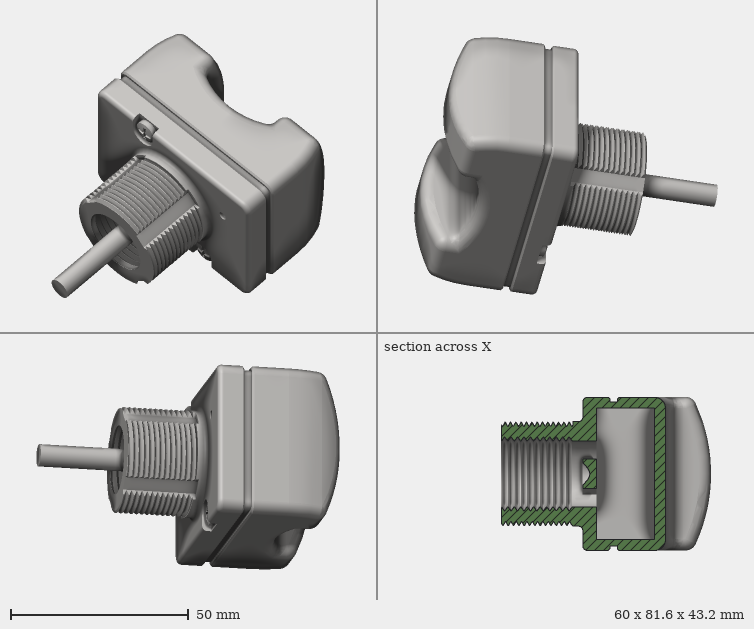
import cadquery as cq
import math

CAP_WIDTH = 59.99
OVERALL_LENGTH = 81.56
BODY_HEIGHT = 43.18
BASE_WIDTH = 59.74
EDGE_RADIUS = 3.2
WALL = 3.2

BASE_BACK = 7.7
CAP_FRONT = 9.77
SIDE_ARC_START = 20.2
CAP_BACK = 36.18
STEM_END = -22.83
CABLE_END = CAP_BACK - OVERALL_LENGTH
PLATE_THICKNESS = 4.0

SIDE_ARC_RADIUS = 27.5
DOME_RADIUS = 47.2

NOTCH_HALF_WIDTH = 12.86
NOTCH_FLOOR = 23.17
NOTCH_RADIUS = 25.4
NOTCH_CORNER_RADIUS = 2.8

SEAM_INSET = 1.27
SEAM_CHAMFER = 0.5
BASE_EDGE_RADIUS = 1.45

COLLAR_RADIUS = 15.12
COLLAR_LENGTH = 2.75
COLLAR_FILLET = 1.16
THREAD_RADIUS = 14.97
THREAD_ROOT_RADIUS = 13.85
THREAD_PITCH = 1.5
CREST_WIDTH = 0.15
BORE_RADIUS = 9.74
BORE_THREAD_RADIUS = 10.85
BORE_PITCH = 25.4 / 14
BORE_TURNS = 11
BORE_LAND = 0.15
THREAD_GAP = 0.04
JOIN_OVERLAP = 0.05

FLAT_DISTANCE = 13.6
FLAT_SIDE = 8.2
FLAT_START = -2.0
FLAT_COUNT = 4

CABLE_RADIUS = 3.14
HUB_RADIUS = 5.3
HUB_MOUTH_RADIUS = 4.46
HUB_MOUTH_DEPTH = 2.0
SPOKE_WIDTH = 2.25
SPOKE_COUNT = 3

SCREW_X = -11.54
SCREW_Z = 17.5
SCREW_POCKET_RADIUS = 3.85
SCREW_POCKET_DEPTH = 2.7
SCREW_HEAD_RADIUS = 3.4
SCREW_HEAD_HEIGHT = 2.3
SCREW_RIM_HEIGHT = 1.6
CROSS_LENGTH = 4.8
CROSS_WIDTH = 1.0
CROSS_DEPTH = 1.0
VENT_RADIUS = 1.3
VENT_X = 19.75
VENT_Z = 8.95


def facing_back(y):
    """Workplane at depth y whose extrusions run toward +Y; local (x, y) is (X, -Z)."""
    return cq.Workplane(cq.Plane(origin=(0, y, 0), xDir=(1, 0, 0), normal=(0, 1, 0)))


def rod(radius, y_start, y_end):
    """Cylinder on the stem axis."""
    return facing_back(y_start).circle(radius).extrude(y_end - y_start)


def slab(width, height, y_start, y_end):
    """Rectangular block centred on the stem axis."""
    return facing_back(y_start).rect(width, height).extrude(y_end - y_start)


def half_turn_pair(shape):
    """The shape together with its copy half a turn about the stem axis."""
    return shape.union(shape.rotate((0, 0, 0), (0, 1, 0), 180))


def cap_block(inset, front):
    """Cap with sharp edges, every curved or outer wall moved inward by inset."""
    half_width = CAP_WIDTH / 2 - inset
    back = CAP_BACK - inset
    side_radius = SIDE_ARC_RADIUS - inset
    arc_center_x = half_width - side_radius
    end_angle = math.asin((back - SIDE_ARC_START) / side_radius)

    def on_side_arc(angle):
        x = arc_center_x + side_radius * math.cos(angle)
        y = SIDE_ARC_START + side_radius * math.sin(angle)
        return x, y

    mid_x, mid_y = on_side_arc(end_angle / 2)
    end_x, end_y = on_side_arc(end_angle)
    plan = (
        cq.Workplane("XY", origin=(0, 0, -BODY_HEIGHT / 2 + inset))
        .moveTo(-half_width, front)
        .lineTo(half_width, front)
        .lineTo(half_width, SIDE_ARC_START)
        .threePointArc((mid_x, mid_y), (end_x, end_y))
        .lineTo(-end_x, end_y)
        .threePointArc((-mid_x, mid_y), (-half_width, SIDE_ARC_START))
        .close()
        .extrude(BODY_HEIGHT - 2 * inset)
    )
    dome = (
        cq.Workplane("YZ", origin=(-CAP_WIDTH, CAP_BACK - DOME_RADIUS, 0))
        .circle(DOME_RADIUS - inset)
        .extrude(2 * CAP_WIDTH)
    )
    return plan.intersect(dome)


def notch(grow):
    """Cutter for the cradle notch, its walls moved outward by grow."""
    floor_disc = (
        cq.Workplane("XY", origin=(0, NOTCH_FLOOR + NOTCH_RADIUS, -BODY_HEIGHT))
        .circle(NOTCH_RADIUS + grow)
        .extrude(2 * BODY_HEIGHT)
    )
    channel = (
        cq.Workplane("XY", origin=(0, NOTCH_FLOOR + NOTCH_RADIUS, 0))
        .box(2 * (NOTCH_HALF_WIDTH + grow), 4 * NOTCH_RADIUS, 2 * BODY_HEIGHT)
    )
    return floor_disc.intersect(channel)


def make_cap():
    """Solid cap with the notch cut and every back edge rounded."""
    cap = cap_block(0, CAP_FRONT).cut(notch(0))
    cap = cap.edges("not(|Z or <Y)").fillet(EDGE_RADIUS)
    corner_y = NOTCH_FLOOR + NOTCH_RADIUS - math.sqrt(NOTCH_RADIUS**2 - NOTCH_HALF_WIDTH**2)
    for side in (-1, 1):
        corner = cq.selectors.NearestToPointSelector((side * NOTCH_HALF_WIDTH, corner_y, 0))
        cap = cap.edges(corner).fillet(NOTCH_CORNER_RADIUS)
    return cap.faces("<Y").edges().chamfer(SEAM_CHAMFER)


def make_base():
    """Base plate and the narrower seam that joins it to the cap."""
    base = slab(BASE_WIDTH, BODY_HEIGHT, 0, BASE_BACK).edges("|Y").fillet(EDGE_RADIUS)
    base = base.faces("<Y").edges().fillet(BASE_EDGE_RADIUS)
    base = base.faces(">Y").edges().chamfer(SEAM_CHAMFER)
    seam = slab(CAP_WIDTH - 2 * SEAM_INSET, BODY_HEIGHT - 2 * SEAM_INSET, BASE_BACK, CAP_FRONT)
    seam = seam.edges("|Y").fillet(EDGE_RADIUS - SEAM_INSET)
    return base.union(seam)


def make_cavity():
    """Hollow interior: the outer shape moved inward by one wall."""
    return cap_block(WALL, PLATE_THICKNESS).cut(notch(WALL))


def helical_ridge(profile, pitch, y_start, y_end):
    """Right-handed sweep of a (radius, axial) profile, from +X at y_start on toward +Y."""
    path = cq.Wire.makeHelix(pitch, y_end - y_start, profile[0][0])
    ridge = cq.Workplane("XZ").polyline(profile).close().sweep(cq.Workplane(path), isFrenet=True)
    return ridge.rotate((0, 0, 0), (1, 0, 0), -90).translate((0, y_start, 0))


def make_stem():
    """Collar and externally threaded stem, solid, with the diagonal flats cut."""
    crest = CREST_WIDTH / 2
    foot = (THREAD_PITCH - THREAD_GAP) / 2
    tooth = [
        (THREAD_ROOT_RADIUS - JOIN_OVERLAP, -foot),
        (THREAD_RADIUS, -crest),
        (THREAD_RADIUS, crest),
        (THREAD_ROOT_RADIUS - JOIN_OVERLAP, foot),
    ]
    thread = helical_ridge(tooth, THREAD_PITCH, STEM_END - THREAD_PITCH, FLAT_START)
    core = rod(THREAD_ROOT_RADIUS, STEM_END - 2 * THREAD_PITCH, 0)
    stem = thread.union(core, clean=False)
    stem = stem.intersect(rod(COLLAR_RADIUS, STEM_END, 0), clean=False)
    stem = stem.union(rod(COLLAR_RADIUS, -COLLAR_LENGTH, 0), clean=False)
    for cutter in make_flat_cutters():
        stem = stem.cut(cutter, clean=False)
    return stem


def make_collar_fillet():
    """Concave ring that blends the collar into the base plate."""
    ring = (
        cq.Workplane("XY")
        .moveTo(COLLAR_RADIUS, 0)
        .lineTo(COLLAR_RADIUS + COLLAR_FILLET, 0)
        .radiusArc((COLLAR_RADIUS, -COLLAR_FILLET), -COLLAR_FILLET)
        .close()
    )
    return ring.revolve(360, (0, 0, 0), (0, 1, 0))


def make_flat_cutters():
    """One cutter per diagonal: a flat floor between two axis-parallel side walls."""
    reach = 2 * THREAD_RADIUS
    far_side = math.sqrt(2) * FLAT_DISTANCE - FLAT_SIDE
    outline = [
        (FLAT_SIDE, far_side),
        (far_side, FLAT_SIDE),
        (reach, FLAT_SIDE),
        (reach, reach),
        (FLAT_SIDE, reach),
    ]
    cutter = facing_back(STEM_END).polyline(outline).close().extrude(FLAT_START - STEM_END)
    step = 360 / FLAT_COUNT
    return [cutter.rotate((0, 0, 0), (0, 1, 0), step * index) for index in range(FLAT_COUNT)]


def make_bore():
    """Cutter for the bore through stem and plate, with thread grooves along the stem."""
    half_land = BORE_LAND / 2
    profile = cq.Workplane("XY").moveTo(0, STEM_END).lineTo(BORE_RADIUS, STEM_END)
    for turn in range(BORE_TURNS):
        start = STEM_END + BORE_PITCH * turn
        profile = (
            profile.lineTo(BORE_RADIUS, start + half_land)
            .lineTo(BORE_THREAD_RADIUS, start + BORE_PITCH / 2)
            .lineTo(BORE_RADIUS, start + BORE_PITCH - half_land)
        )
    profile = profile.lineTo(BORE_RADIUS, PLATE_THICKNESS).lineTo(0, PLATE_THICKNESS).close()
    return profile.revolve(360, (0, 0, 0), (0, 1, 0))


def make_hub():
    """Spoked hub across the bore, with the cable running out through it."""
    hub = rod(HUB_RADIUS, 0, PLATE_THICKNESS)
    spoke_length = BORE_RADIUS + JOIN_OVERLAP
    spoke = slab(SPOKE_WIDTH, spoke_length, 0, PLATE_THICKNESS).translate((0, 0, spoke_length / 2))
    for index in range(SPOKE_COUNT):
        hub = hub.union(spoke.rotate((0, 0, 0), (0, 1, 0), 360 / SPOKE_COUNT * index))
    mouth = (
        facing_back(0)
        .circle(HUB_MOUTH_RADIUS)
        .workplane(offset=HUB_MOUTH_DEPTH)
        .circle(CABLE_RADIUS)
        .loft()
    )
    return hub.cut(mouth).union(rod(CABLE_RADIUS, CABLE_END, PLATE_THICKNESS))


def make_screw_pockets():
    """Round-bottomed pockets that open through the upper and lower edges of the base."""
    mouth_length = 2 * SCREW_POCKET_RADIUS
    pocket = rod(SCREW_POCKET_RADIUS, 0, SCREW_POCKET_DEPTH)
    mouth = slab(2 * SCREW_POCKET_RADIUS, mouth_length, 0, SCREW_POCKET_DEPTH)
    pocket = pocket.union(mouth.translate((0, 0, mouth_length / 2)))
    return half_turn_pair(pocket.translate((SCREW_X, 0, SCREW_Z)))


def make_screws():
    """Low-domed screw heads with a cross recess, standing on the pocket floors."""
    dome_height = SCREW_HEAD_HEIGHT - SCREW_RIM_HEIGHT
    dome_radius = (SCREW_HEAD_RADIUS**2 + dome_height**2) / (2 * dome_height)
    top = SCREW_POCKET_DEPTH - SCREW_HEAD_HEIGHT
    ball = cq.Workplane("XY").sphere(dome_radius).translate((0, top + dome_radius, 0))
    head = rod(SCREW_HEAD_RADIUS, top, SCREW_POCKET_DEPTH).intersect(ball)
    for width, height in ((CROSS_LENGTH, CROSS_WIDTH), (CROSS_WIDTH, CROSS_LENGTH)):
        head = head.cut(slab(width, height, top, top + CROSS_DEPTH))
    return half_turn_pair(head.translate((SCREW_X, 0, SCREW_Z)))


def make_vents():
    """Small round holes through the base plate."""
    return half_turn_pair(rod(VENT_RADIUS, 0, PLATE_THICKNESS).translate((VENT_X, 0, VENT_Z)))


housing = make_base().union(make_cap()).cut(make_cavity())
housing = housing.cut(make_screw_pockets()).union(make_screws()).cut(make_vents())
housing = housing.union(make_collar_fillet())
body = housing.union(make_stem(), clean=False).cut(make_bore(), clean=False)
result = body.union(make_hub(), clean=False)